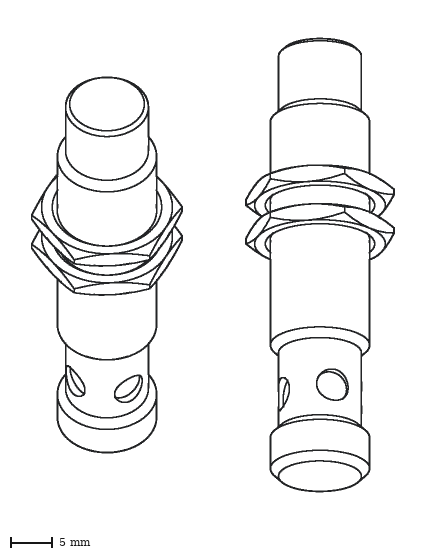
import cadquery as cq
import math

TOTAL_HEIGHT = 55.0
BARREL_DIAMETER = 12.0
NECK_DIAMETER = 10.0
STEP_BEVEL = (BARREL_DIAMETER - NECK_DIAMETER) / 2
COLLAR_TOP = 5.0
THREAD_BOTTOM = 17.0
THREAD_TOP = 46.0
TIP_CHAMFER = 0.5

HOLE_DIAMETER = 4.0
HOLE_HEIGHT = 10.0
HOLE_DEPTH = 1.0
HOLE_COUNT = 4

HEX_SIDES = 6
NUT_ACROSS_FLATS = 15.8
NUT_THICKNESS = 2.1
NUT_BOTTOMS = (30.15, 35.15)
NUT_CHAMFER_ANGLE = 30.0
COUNTERSINK_DIAMETER = 13.2


def make_barrel():
    """Turned body with a necked lower end and a reduced tip."""
    barrel_radius = BARREL_DIAMETER / 2
    neck_radius = NECK_DIAMETER / 2
    profile = [
        (0, 0),
        (barrel_radius - STEP_BEVEL, 0),
        (barrel_radius, STEP_BEVEL),
        (barrel_radius, COLLAR_TOP),
        (neck_radius, COLLAR_TOP + STEP_BEVEL),
        (neck_radius, THREAD_BOTTOM - STEP_BEVEL),
        (barrel_radius, THREAD_BOTTOM),
        (barrel_radius, THREAD_TOP),
        (neck_radius, THREAD_TOP + STEP_BEVEL),
        (neck_radius, TOTAL_HEIGHT - TIP_CHAMFER),
        (neck_radius - TIP_CHAMFER, TOTAL_HEIGHT),
        (0, TOTAL_HEIGHT),
    ]
    barrel = cq.Workplane("XZ").polyline(profile).close().revolve(360, (0, 0), (0, 1))

    floor_radius = neck_radius - HOLE_DEPTH
    cutter = (
        cq.Workplane("YZ", origin=(floor_radius, 0, HOLE_HEIGHT))
        .circle(HOLE_DIAMETER / 2)
        .extrude(2 * HOLE_DEPTH)
    )
    for index in range(HOLE_COUNT):
        angle = index * 360 / HOLE_COUNT
        barrel = barrel.cut(cutter.rotate((0, 0, 0), (0, 0, 1), angle))
    return barrel.solids()


def make_nut(bottom):
    """Hex nut with chamfered corners and a countersunk bore on both faces."""
    flat_radius = NUT_ACROSS_FLATS / 2
    corner_radius = flat_radius / math.cos(math.pi / HEX_SIDES)
    corner_drop = (corner_radius - flat_radius) * math.tan(math.radians(NUT_CHAMFER_ANGLE))
    bore_radius = BARREL_DIAMETER / 2
    sink_radius = COUNTERSINK_DIAMETER / 2
    sink_depth = sink_radius - bore_radius

    ring_profile = [
        (bore_radius, sink_depth),
        (sink_radius, 0),
        (flat_radius, 0),
        (corner_radius, corner_drop),
        (corner_radius, NUT_THICKNESS - corner_drop),
        (flat_radius, NUT_THICKNESS),
        (sink_radius, NUT_THICKNESS),
        (bore_radius, NUT_THICKNESS - sink_depth),
    ]
    ring = cq.Workplane("XZ").polyline(ring_profile).close().revolve(360, (0, 0), (0, 1))
    hexagon = cq.Workplane("XY").polygon(HEX_SIDES, 2 * corner_radius).extrude(NUT_THICKNESS)
    return hexagon.intersect(ring).translate((0, 0, bottom)).solids()


barrel = make_barrel()
nuts = [make_nut(bottom) for bottom in NUT_BOTTOMS]

result = cq.Compound.makeCompound([barrel.val(), *[nut.val() for nut in nuts]])